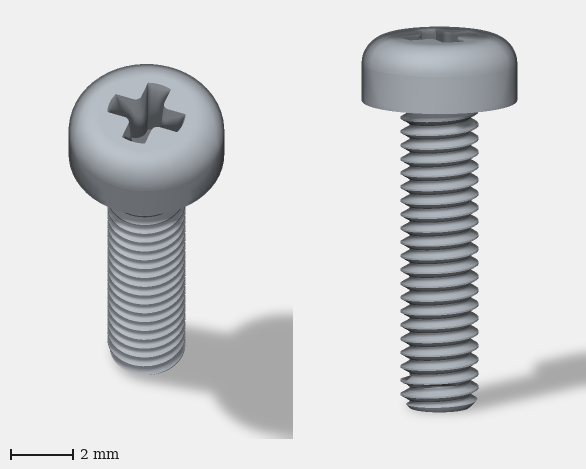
import cadquery as cq
import math

total_length = 12.1
head_diameter = 5.0
shank_length = 10.0
head_height = total_length - shank_length
head_round = 0.9

major_radius = 2.5 / 2
minor_radius = 1.92 / 2
thread_turns = 22.2
thread_pitch = shank_length / thread_turns
crest_width = thread_pitch / 8
flank_angle = 30.0
first_crest_depth = 0.19
root_overlap = 0.04
envelope_clearance = 0.12
tip_chamfer = major_radius - minor_radius

recess_depth = 1.75
arm_width = 0.79
arm_floor_width = 0.45
arm_reach = 1.26
arm_floor_reach = 0.75
inner_corner_radius = 0.2


def make_head():
    """Cylindrical head with a rounded top edge."""
    head = cq.Workplane("XY").circle(head_diameter / 2).extrude(head_height)
    return head.faces(">Z").edges().fillet(head_round)


def make_thread_ridge():
    """Helical ridge that runs past both ends of the shank."""
    start_z = -first_crest_depth - thread_pitch * math.ceil(thread_turns)
    ridge_length = thread_pitch * (math.ceil(thread_turns) + 1)
    root_radius = minor_radius - root_overlap
    crest_half = crest_width / 2
    root_half = crest_half + (major_radius - root_radius) * math.tan(math.radians(flank_angle))
    helix = cq.Wire.makeHelix(thread_pitch, ridge_length, minor_radius, cq.Vector(0, 0, start_z))
    profile = cq.Workplane("XZ").polyline([
        (root_radius, start_z - root_half),
        (major_radius, start_z - crest_half),
        (major_radius, start_z + crest_half),
        (root_radius, start_z + root_half),
    ]).close()
    return profile.sweep(cq.Workplane(obj=helix), isFrenet=True)


def make_shank():
    """Threaded shank with a chamfered tip."""
    core_length = shank_length + 2 * thread_pitch
    core = cq.Workplane("XY").workplane(offset=thread_pitch).circle(minor_radius).extrude(-core_length)
    envelope_radius = major_radius + envelope_clearance
    envelope = cq.Workplane("XY").circle(envelope_radius).extrude(-shank_length)
    envelope = envelope.faces("<Z").edges().chamfer(tip_chamfer + envelope_clearance)
    return core.union(make_thread_ridge()).intersect(envelope)


def make_recess():
    """Cross with sloping walls, its arms ended by a cone that narrows downward."""
    wall_taper = math.degrees(math.atan((arm_width - arm_floor_width) / 2 / recess_depth))
    top = cq.Workplane("XY").workplane(offset=head_height)
    arm_length = 4 * arm_reach
    sketch = cq.Sketch().rect(arm_length, arm_width).rect(arm_width, arm_length).clean()
    inner_corners = cq.selectors.BoxSelector(
        (-arm_width, -arm_width, -0.12), (arm_width, arm_width, 0.12)
    )
    sketch = sketch.reset().vertices(inner_corners).fillet(inner_corner_radius)
    cross = top.placeSketch(sketch).extrude(-recess_depth, taper=wall_taper)
    cone = (
        top.circle(arm_reach)
        .workplane(offset=-recess_depth)
        .circle(arm_floor_reach)
        .loft(ruled=True)
    )
    return cross.intersect(cone)


result = make_head().union(make_shank()).cut(make_recess())